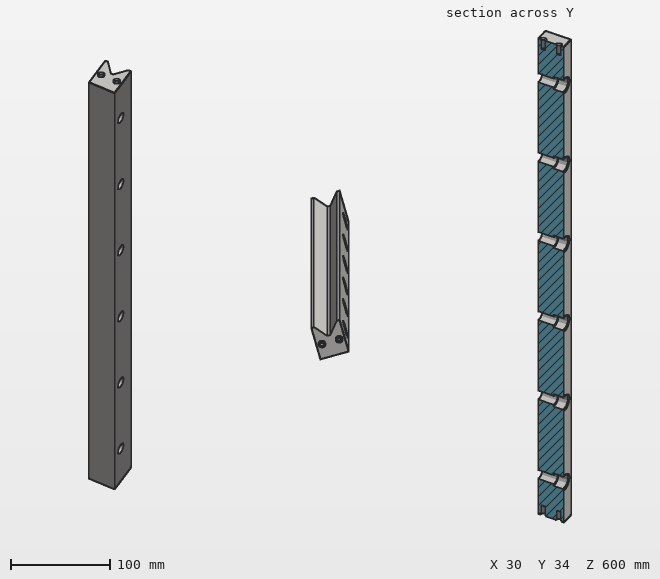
import cadquery as cq

width = 30.0
height = 34.0
length = 600.0
end_chamfer = 0.5

groove_opening = 24.0
groove_floor = 3.0
groove_depth = 12.5

hole_count = 6
hole_pitch = length / hole_count
hole_height = 12.5
hole_diameter = 11.5
counterbore_diameter = 15.5
counterbore_depth = 12.0
counterbore_chamfer = 1.0

end_hole_spacing = 18.0
end_hole_height = 15.0
end_hole_diameter = 4.0
end_hole_depth = 12.0
end_countersink_diameter = 7.0

cone_angle = 45


def make_body():
    """Rectangular bar with its outer end edges broken."""
    bar = cq.Workplane("XY").box(width, height, length, centered=(True, False, False))
    return bar.faces("<Z or >Z").edges().chamfer(end_chamfer)


def make_groove():
    """Flat-bottomed V groove over the full length."""
    floor_y = height - groove_depth
    profile = [
        (-groove_opening / 2, height),
        (-groove_floor / 2, floor_y),
        (groove_floor / 2, floor_y),
        (groove_opening / 2, height),
    ]
    return cq.Workplane("XY").polyline(profile).close().extrude(length)


def make_cross_holes():
    """Through holes along X with chamfered counterbores, evenly spaced along Z."""
    centres = [(hole_height, hole_pitch * (i + 0.5)) for i in range(hole_count)]
    outer_face = cq.Workplane("YZ", origin=(-width / 2, 0, 0)).pushPoints(centres)
    mouth_radius = counterbore_diameter / 2 + counterbore_chamfer
    through = outer_face.circle(hole_diameter / 2).extrude(width)
    counterbores = outer_face.circle(counterbore_diameter / 2).extrude(counterbore_depth)
    mouths = outer_face.circle(mouth_radius).extrude(counterbore_chamfer, taper=cone_angle)
    return through.union(counterbores).union(mouths)


def make_end_holes(face_z, inward):
    """Pair of countersunk blind holes; inward is the Z direction into the rail."""
    centres = [(side * end_hole_spacing / 2, end_hole_height) for side in (-1, 1)]
    end_face = cq.Workplane("XY", origin=(0, 0, face_z)).pushPoints(centres)
    sink_depth = (end_countersink_diameter - end_hole_diameter) / 2
    holes = end_face.circle(end_hole_diameter / 2).extrude(inward * end_hole_depth)
    sinks = end_face.circle(end_countersink_diameter / 2).extrude(inward * sink_depth, taper=cone_angle)
    return holes.union(sinks)


result = (
    make_body()
    .cut(make_groove())
    .cut(make_cross_holes())
    .cut(make_end_holes(0, 1))
    .cut(make_end_holes(length, -1))
)